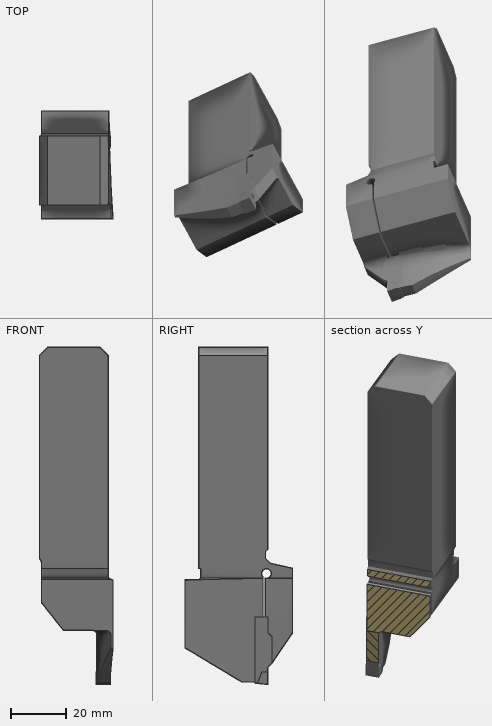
import cadquery as cq
import math


TOTAL_HEIGHT = 122.1
SHANK_WIDTH = 25.0
SHANK_FRONT = 5.0
SHANK_REAR = SHANK_FRONT + SHANK_WIDTH
SHANK_CHAMFER = 3.0
NECK_DEPTH = 0.7
NECK_TOP = 49.0
NECK_BOTTOM = 45.5

HEAD_LENGTH = 39.1
HEAD_LEFT = 0.7
HEAD_RIGHT = 26.7
HEAD_RIGHT_REAR = 25.3
HEAD_BOTTOM = 19.7
LEFT_STEP_TOP = 45.5
LEFT_STEP_RADIUS = 2.0
BEVEL_TOP = 29.7
BEVEL_END_X = 8.7
SHOULDER_TOP = 38.6
SHOULDER_BOTTOM = 37.7
REAR_SLOPE_TOP = 44.0
REAR_SLOPE_END = 42.1
NOTCH_TOP = 42.0
NOTCH_BOTTOM = 38.1
NOTCH_CORNER = 0.5

BLADE_LEFT = 20.9
BLADE_TANGENT_Y = 30.5
BLADE_RADIUS = 95.2
BLADE_FILLET = 1.8
BLADE_BOTTOM = 0.9
BLADE_NOSE_Y = 20.8
BLADE_FRONT_Z = 13.3
BLADE_REAR_Z = 18.8

SLIT_WIDTH = 0.7
SLIT_Y = 28.7
HOLE_Y = 29.5
HOLE_Z = 40.2
HOLE_RADIUS = 1.7

INSERT_LEFT = 20.8
INSERT_RIGHT = 25.5
INSERT_FRONT = 25.4
INSERT_REAR = SHANK_REAR
INSERT_BULGE_Y = 31.6
INSERT_TOP = 24.5
BULGE_TOP = 17.2
BULGE_BOTTOM = 7.8
BULGE_CHAMFER = INSERT_BULGE_Y - INSERT_REAR
TIP_CLEARANCE = 0.5
TIP_TOP = 4.6
TIP_TOP_FRONT = 28.0
TIP_BOTTOM_FRONT = 26.3
TIP_OVERHANG = 0.2

CUT_MARGIN = 6.1


def yz_prism(points, x_start, x_end):
    """Extrude a closed (Y, Z) outline between two X positions."""
    return cq.Workplane("YZ").workplane(offset=x_start).polyline(points).close().extrude(x_end - x_start)


def front_profile():
    """Holder silhouette in X and Z, extruded over the head length."""
    step_x = HEAD_LEFT
    arc_angle = math.acos(1 - step_x / LEFT_STEP_RADIUS)
    step_bottom = LEFT_STEP_TOP - LEFT_STEP_RADIUS * math.sin(arc_angle)
    return (
        cq.Workplane("XZ")
        .moveTo(SHANK_CHAMFER, TOTAL_HEIGHT)
        .lineTo(0, TOTAL_HEIGHT - SHANK_CHAMFER)
        .lineTo(0, LEFT_STEP_TOP)
        .radiusArc((step_x, step_bottom), LEFT_STEP_RADIUS)
        .lineTo(HEAD_LEFT, BEVEL_TOP)
        .lineTo(BEVEL_END_X, HEAD_BOTTOM)
        .lineTo(BEVEL_END_X, 0)
        .lineTo(HEAD_RIGHT, 0)
        .lineTo(HEAD_RIGHT, SHOULDER_BOTTOM)
        .lineTo(SHANK_WIDTH, SHOULDER_TOP)
        .lineTo(SHANK_WIDTH, TOTAL_HEIGHT - SHANK_CHAMFER)
        .lineTo(SHANK_WIDTH - SHANK_CHAMFER, TOTAL_HEIGHT)
        .close()
        .extrude(-HEAD_LENGTH)
    )


def side_profile():
    """Holder silhouette in Y and Z, extruded over the head width."""
    neck_rear = SHANK_REAR - NECK_DEPTH
    notch_front = SHANK_FRONT + NECK_DEPTH
    points = [
        (SHANK_FRONT, TOTAL_HEIGHT),
        (SHANK_REAR, TOTAL_HEIGHT),
        (SHANK_REAR, NECK_TOP),
        (neck_rear, NECK_TOP - NECK_DEPTH),
        (neck_rear, NECK_BOTTOM),
        (neck_rear + NECK_BOTTOM - REAR_SLOPE_TOP, REAR_SLOPE_TOP),
        (HEAD_LENGTH, REAR_SLOPE_END),
        (HEAD_LENGTH, BLADE_REAR_Z),
        (INSERT_BULGE_Y, BULGE_BOTTOM),
        (INSERT_REAR, BULGE_BOTTOM - BULGE_CHAMFER),
        (INSERT_FRONT, BLADE_BOTTOM),
        (BLADE_NOSE_Y, BLADE_BOTTOM),
        (0, BLADE_FRONT_Z),
        (0, NOTCH_BOTTOM),
        (notch_front - NOTCH_CORNER, NOTCH_BOTTOM),
        (notch_front, NOTCH_BOTTOM + NOTCH_CORNER),
        (notch_front, NOTCH_TOP),
        (SHANK_FRONT, NOTCH_TOP),
    ]
    return yz_prism(points, 0, HEAD_RIGHT)


def right_face_cutter():
    """Material outside the large-radius right face, tangent to Y at the rear end."""
    sweep = HEAD_RIGHT - HEAD_RIGHT_REAR
    radius = (HEAD_LENGTH**2 + sweep**2) / (2 * sweep)
    return (
        cq.Workplane("XY")
        .center(HEAD_RIGHT_REAR + radius, HEAD_LENGTH)
        .circle(radius)
        .extrude(SHOULDER_TOP)
    )


def left_face_cutter():
    """Space left of the blade, with a rounded upper edge that leaves the root fillet."""
    def blade_x(y):
        distance = y - BLADE_TANGENT_Y
        return BLADE_LEFT + BLADE_RADIUS - math.sqrt(BLADE_RADIUS**2 - distance**2)

    front_y = -CUT_MARGIN
    rear_y = HEAD_LENGTH + CUT_MARGIN
    cutter = (
        cq.Workplane("XY")
        .moveTo(-CUT_MARGIN, front_y)
        .lineTo(blade_x(front_y), front_y)
        .threePointArc((BLADE_LEFT, BLADE_TANGENT_Y), (blade_x(rear_y), rear_y))
        .lineTo(-CUT_MARGIN, rear_y)
        .close()
        .extrude(HEAD_BOTTOM)
    )
    return cutter.faces(">Z").edges("%CIRCLE").fillet(BLADE_FILLET)


def clamping_slit():
    """Slit with a round relief hole, cut through the full width."""
    hole = cq.Workplane("YZ").center(HOLE_Y, HOLE_Z).circle(HOLE_RADIUS).extrude(HEAD_RIGHT)
    slit = cq.Workplane("XY").box(HEAD_RIGHT, SLIT_WIDTH, HOLE_Z, centered=(False, True, False))
    return hole.union(slit.translate((0, SLIT_Y, 0)))


def insert_outline():
    return [
        (INSERT_FRONT, INSERT_TOP),
        (INSERT_REAR, INSERT_TOP),
        (INSERT_REAR, BULGE_TOP + BULGE_CHAMFER),
        (INSERT_BULGE_Y, BULGE_TOP),
        (INSERT_BULGE_Y, BULGE_BOTTOM),
        (INSERT_REAR, BULGE_BOTTOM - BULGE_CHAMFER),
        (INSERT_REAR, 0),
        (INSERT_FRONT, TIP_CLEARANCE),
    ]


def make_insert():
    body = yz_prism(insert_outline(), INSERT_LEFT, INSERT_RIGHT)
    tip_slope = TIP_CLEARANCE / (INSERT_REAR - INSERT_FRONT)
    tip_outline = [
        (INSERT_REAR, TIP_TOP),
        (TIP_TOP_FRONT, TIP_TOP),
        (TIP_BOTTOM_FRONT, tip_slope * (INSERT_REAR - TIP_BOTTOM_FRONT)),
        (INSERT_REAR, 0),
    ]
    tip = yz_prism(tip_outline, INSERT_LEFT - TIP_OVERHANG, INSERT_RIGHT + TIP_OVERHANG)
    return body.union(tip)


def insert_pocket():
    """Seat for the insert, open to the right and below, and to the left under the head."""
    seat = yz_prism(insert_outline(), INSERT_LEFT, HEAD_RIGHT)
    under_head = cq.Workplane("XY").box(HEAD_RIGHT, HEAD_LENGTH, HEAD_BOTTOM, centered=False)
    left_opening = yz_prism(insert_outline(), 0, INSERT_LEFT).intersect(under_head)
    return seat.union(left_opening)


def make_holder():
    holder = front_profile().intersect(side_profile())
    holder = holder.cut(right_face_cutter()).cut(left_face_cutter())
    return holder.cut(clamping_slit()).cut(insert_pocket())


holder = make_holder()
insert = make_insert()
result = cq.Compound.makeCompound([holder.val(), insert.val()])